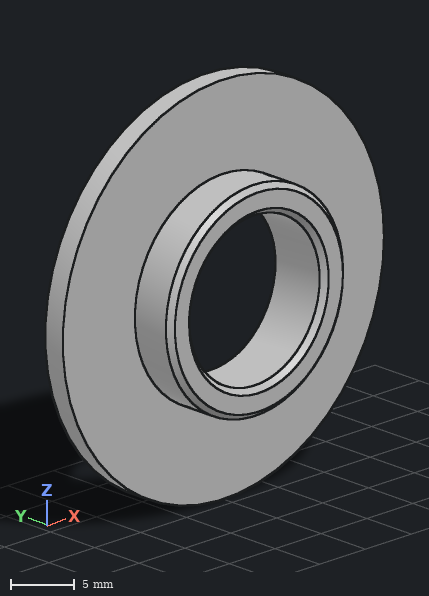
import cadquery as cq

flange_diameter = 35.0
flange_thickness = 2.0
hub_diameter = 19.3
overall_length = 6.0
bore_diameter = 14.2
edge_chamfer = 0.5


def cylinder_from_back(diameter, length):
    """Solid cylinder from the flange's back face (Y = 0) toward -Y."""
    return cq.Workplane("XZ").circle(diameter / 2).extrude(length)


flange = cylinder_from_back(flange_diameter, flange_thickness)
hub = cylinder_from_back(hub_diameter, overall_length)
bore = cylinder_from_back(bore_diameter, overall_length)
bushing = flange.union(hub).cut(bore)

bushing = bushing.faces("<Y").edges().chamfer(edge_chamfer)

back_bore_edge = cq.selectors.RadiusNthSelector(0)
result = bushing.faces(">Y").edges(back_bore_edge).chamfer(edge_chamfer)